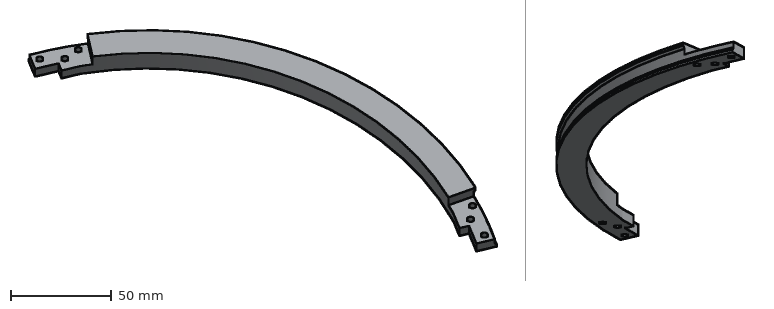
import cadquery as cq
import math

outer_radius = 180.0
rail_width = 15.0
rail_height = 12.0
inner_radius = outer_radius - rail_width

groove_depth = 1.0
lip_height = 1.5
groove_slope_height = 1.5

joint_angle = 45.0
step_angle = 37.3
step_height = rail_height / 2
tip_along = 6.1
notch_along = -6.1
lap_inner_out = 164.22
notch_depth = 5.0
tongue_inner_out = lap_inner_out + notch_depth

hole_diameter = 3.4
hole_places = [(-18.2, 174.8), (-10.0, 171.2), (2.0, 174.7)]

clearance = 10.0


def radial_sweep(profile, start, end):
    """Revolve a (radius, z) profile about Z between two angles measured from +Y towards +X."""
    sweep = cq.Workplane("XZ").polyline(profile).close().revolve(end - start, (0, 0), (0, 1))
    return sweep.rotate((0, 0, 0), (0, 0, 1), 90 - end)


def block(along_start, along_end, out_start, out_end, bottom, height):
    """Upright block in the joint frame, before it is turned to the joint angle."""
    size_along = along_end - along_start
    size_out = out_end - out_start
    corner = cq.Vector(along_start, out_start, bottom)
    return cq.Workplane(cq.Solid.makeBox(size_along, size_out, height, corner))


def turned_to_joint(shape):
    """Turn a shape from the middle of the arc to the joint at the +X end."""
    return shape.rotate((0, 0, 0), (0, 0, 1), -joint_angle)


def mirrored_pair(shape):
    """The shape at the +X end together with its mirror image at the -X end."""
    return shape.union(shape.mirror("YZ"))


def grooved_rail():
    """Grooved section swept along the arc, somewhat past both tips."""
    floor_radius = outer_radius - groove_depth
    floor_bottom = lip_height + groove_slope_height
    profile = [
        (inner_radius, 0),
        (outer_radius, 0),
        (outer_radius, lip_height),
        (floor_radius, floor_bottom),
        (floor_radius, rail_height - floor_bottom),
        (outer_radius, rail_height - lip_height),
        (outer_radius, rail_height),
        (inner_radius, rail_height),
    ]
    half_angle = joint_angle + math.degrees(math.atan((tip_along + clearance) / inner_radius))
    return radial_sweep(profile, -half_angle, half_angle)


def lap_inner_pad():
    """Fills the lap's inner side out to a flat, starting where the flat leaves the inner arc."""
    pad_start = -math.sqrt(inner_radius**2 - lap_inner_out**2)
    return turned_to_joint(block(pad_start, notch_along, lap_inner_out, tongue_inner_out, 0, step_height))


def upper_half_cutter():
    """Everything above the lap, from the radial step face to past the tip."""
    ring_section = [
        (inner_radius - clearance, step_height),
        (outer_radius + clearance, step_height),
        (outer_radius + clearance, rail_height + clearance),
        (inner_radius - clearance, rail_height + clearance),
    ]
    return radial_sweep(ring_section, step_angle, 2 * joint_angle - step_angle)


def lap_outline_cutter():
    """Inner notch, square tip and screw holes of one lap."""
    inside = inner_radius - clearance
    outside = outer_radius + clearance
    past_tip = tip_along + 2 * clearance
    notch = block(notch_along, past_tip, inside, tongue_inner_out, 0, rail_height)
    tip = block(tip_along, past_tip, inside, outside, 0, rail_height)
    holes = cq.Workplane("XY").pushPoints(hole_places).circle(hole_diameter / 2).extrude(rail_height)
    return turned_to_joint(notch.union(tip).union(holes))


result = grooved_rail()
result = result.union(mirrored_pair(lap_inner_pad()))
result = result.cut(mirrored_pair(upper_half_cutter()))
result = result.cut(mirrored_pair(lap_outline_cutter()))